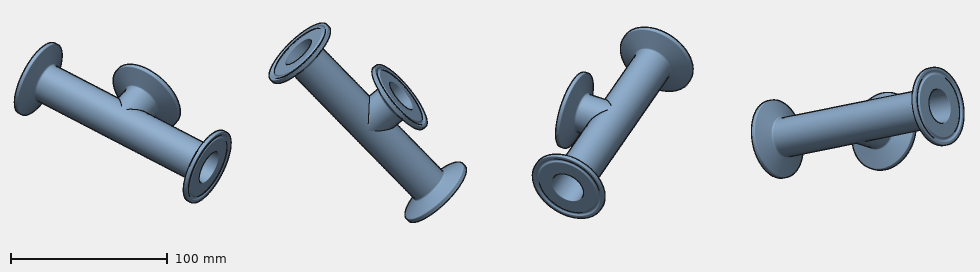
import cadquery as cq
import math

overall_length = 133.4
branch_reach = 28.5
tube_diameter = 25.3
bore_diameter = 22.1

flange_diameter = 50.4
rim_thickness = 3.0
rim_round = 0.7
cone_angle = 20.0
neck_fillet = 1.1
face_edge_round = 0.3

groove_diameter = 43.6
groove_width = 2.5
groove_radius = 1.3
groove_edge_round = 0.7

tube_radius = tube_diameter / 2
flange_radius = flange_diameter / 2
half_length = overall_length / 2
cone_depth = (flange_radius - tube_radius) * math.tan(math.radians(cone_angle))
neck_start = rim_thickness + cone_depth


def groove_cutter():
    """Ring that cuts the round-bottomed gasket groove with softened edges, sunk into the z = 0 face."""
    centre_height = -math.sqrt(groove_radius**2 - (groove_width / 2) ** 2)
    middle = groove_diameter / 2
    round_reach = math.sqrt(
        (groove_radius + groove_edge_round) ** 2 - (groove_edge_round - centre_height) ** 2
    )
    share = groove_radius / (groove_radius + groove_edge_round)
    touch_offset = round_reach * share
    touch_height = centre_height + (groove_edge_round - centre_height) * share
    section = (
        cq.Workplane("XZ")
        .moveTo(middle - round_reach, 0)
        .radiusArc((middle - touch_offset, touch_height), -groove_edge_round)
        .threePointArc(
            (middle, centre_height + groove_radius),
            (middle + touch_offset, touch_height),
        )
        .radiusArc((middle + round_reach, 0), -groove_edge_round)
        .close()
    )
    return section.revolve(360, (0, 0, 0), (0, 1, 0))


def ferruled_leg(length):
    """Solid tube along +Z whose clamp flange has its sealing face on z = 0."""
    profile = (
        cq.Workplane("XZ")
        .polyline(
            [
                (0, 0),
                (flange_radius, 0),
                (flange_radius, rim_thickness),
                (tube_radius, neck_start),
                (tube_radius, length),
                (0, length),
            ]
        )
        .close()
    )
    leg = profile.revolve(360, (0, 0, 0), (0, 1, 0))
    largest_circles = cq.selectors.RadiusNthSelector(-1)
    leg = leg.edges(largest_circles).edges(">Z").fillet(rim_round)
    neck_corner = cq.selectors.BoxSelector(
        (-flange_diameter, -flange_diameter, neck_start - neck_fillet / 2),
        (flange_diameter, flange_diameter, neck_start + neck_fillet / 2),
        boundingbox=True,
    )
    leg = leg.edges(neck_corner).fillet(neck_fillet)
    return leg.cut(groove_cutter())


run_leg = ferruled_leg(half_length).rotate((0, 0, 0), (0, 1, 0), 90).translate((-half_length, 0, 0))
run = run_leg.union(run_leg.mirror("YZ"))

branch = ferruled_leg(branch_reach).rotate((0, 0, 0), (1, 0, 0), 90).translate((0, branch_reach, 0))

run_bore = cq.Workplane("YZ").circle(bore_diameter / 2).extrude(half_length, both=True)
branch_bore = cq.Workplane("XZ").circle(bore_diameter / 2).extrude(-branch_reach)

tee = run.union(branch).cut(run_bore).cut(branch_bore)

for sealing_face in ("<X", ">X", ">Y"):
    for circle_rank in (0, -1):
        circle = cq.selectors.RadiusNthSelector(circle_rank)
        tee = tee.faces(sealing_face).edges(circle).fillet(face_edge_round)

result = cq.Workplane(tee.solids().val())